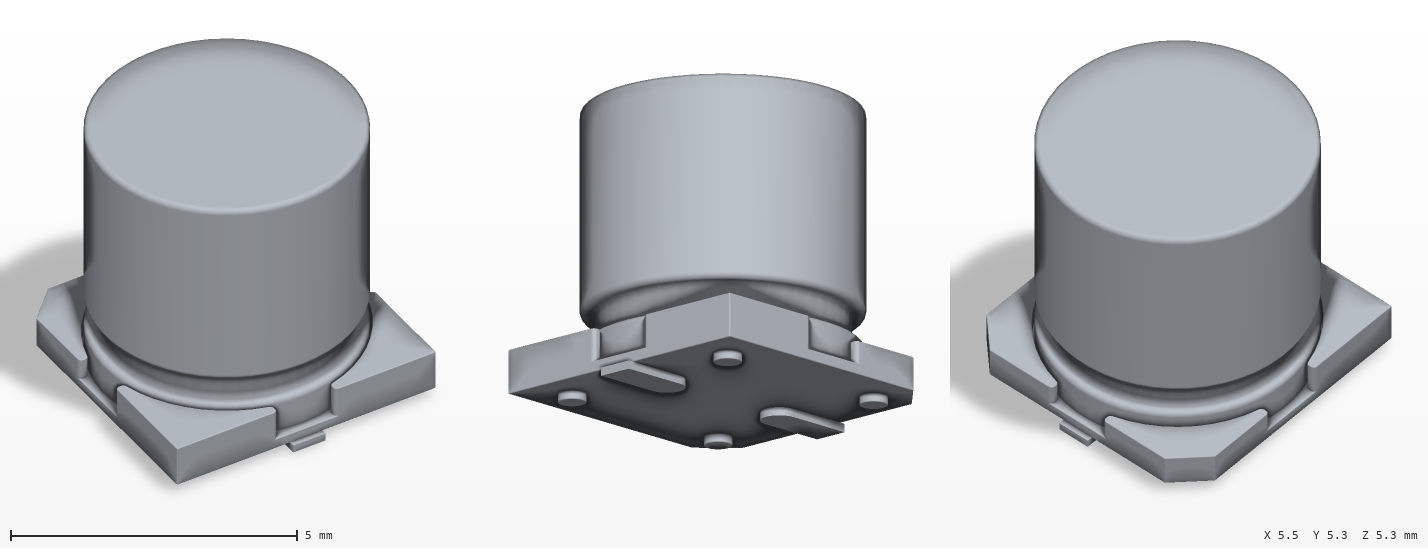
import cadquery as cq


total_height = 5.3
base_side = 5.3
lead_span = 5.5

can_radius = 2.5
neck_radius = 2.25
crimp_round = 0.1
neck_bottom = 1.03
neck_top = 1.58

base_bottom = 0.15
floor_height = 0.35
low_corner_height = 0.76
high_corner_height = 0.95
corner_cut = 0.62
notch_width = 1.18
block_round = 0.08
edge_round = 0.02
seat_radius = 2.54

lead_width = 0.66
lead_inner_end = 1.1
foot_diameter = 0.5
foot_offset = 1.86

half_side = base_side / 2
slice_margin = 0.01


def make_can():
    """Revolve the can profile: rounded rim, crimped neck and lower bead."""
    shoulder_radius = can_radius - crimp_round
    groove_radius = neck_radius + crimp_round
    profile = (
        cq.Workplane("XZ")
        .moveTo(0, floor_height)
        .lineTo(can_radius, floor_height)
        .lineTo(can_radius, neck_bottom - crimp_round)
        .radiusArc((shoulder_radius, neck_bottom), -crimp_round)
        .lineTo(groove_radius, neck_bottom)
        .radiusArc((neck_radius, neck_bottom + crimp_round), crimp_round)
        .lineTo(neck_radius, neck_top - crimp_round)
        .radiusArc((groove_radius, neck_top), crimp_round)
        .lineTo(shoulder_radius, neck_top)
        .radiusArc((can_radius, neck_top + crimp_round), -crimp_round)
        .lineTo(can_radius, total_height - crimp_round)
        .radiusArc((shoulder_radius, total_height), -crimp_round)
        .lineTo(0, total_height)
        .close()
    )
    return profile.revolve(360, (0, 0), (0, 1))


def base_prism(bottom, top):
    """Square base outline with two cut corners and broken upright edges."""
    return (
        cq.Workplane("XY")
        .workplane(offset=bottom)
        .rect(base_side, base_side)
        .extrude(top - bottom)
        .edges("|Z and <X")
        .chamfer(corner_cut)
        .edges("|Z")
        .fillet(edge_round)
    )


def near_plane(axis, position, margin=slice_margin):
    """Selector for edges centred in a slice across the X, Y or Z axis (0, 1 or 2)."""
    low = [-base_side, -base_side, 0]
    high = [base_side, base_side, total_height]
    low[axis] = position - margin
    high[axis] = position + margin
    return cq.selectors.BoxSelector(tuple(low), tuple(high))


def make_corner_block(x_side, y_side, top):
    """One raised corner of the base, hollowed to fit round the can."""
    notch_edge = notch_width / 2
    block_side = half_side - notch_edge
    block_center = notch_edge + block_side / 2
    quadrant = (
        cq.Workplane("XY")
        .center(x_side * block_center, y_side * block_center)
        .rect(block_side, block_side)
        .extrude(top)
    )
    seat = cq.Workplane("XY").circle(seat_radius).extrude(top)
    block = base_prism(floor_height - edge_round, top).intersect(quadrant).cut(seat)

    notch_walls = near_plane(0, x_side * notch_edge) + near_plane(1, y_side * notch_edge)
    block = block.edges("|Z").edges(notch_walls).fillet(block_round)
    return block.faces(">Z").edges().fillet(edge_round)


def make_base():
    """Thin floor slab with four raised corner blocks."""
    base = base_prism(base_bottom, floor_height).faces("<Z or >Z").edges().fillet(edge_round)
    for x_side, top in ((-1, low_corner_height), (1, high_corner_height)):
        for y_side in (-1, 1):
            base = base.union(make_corner_block(x_side, y_side, top))
    return base


def make_lead(x_side):
    """Flat lead under the base with a semicircular inner end."""
    outer_end = lead_span / 2
    tip_center = lead_inner_end + lead_width / 2
    strip_length = outer_end - tip_center
    strip = (
        cq.Workplane("XY")
        .center(x_side * (tip_center + strip_length / 2), 0)
        .rect(strip_length, lead_width)
        .extrude(base_bottom)
    )
    tip = (
        cq.Workplane("XY")
        .center(x_side * tip_center, 0)
        .circle(lead_width / 2)
        .extrude(base_bottom)
    )
    return strip.union(tip)


def add_feet(base):
    """Four round stand-off feet under the base corners, softened at both ends."""
    feet = (
        cq.Workplane("XY")
        .rect(2 * foot_offset, 2 * foot_offset, forConstruction=True)
        .vertices()
        .circle(foot_diameter / 2)
        .extrude(base_bottom)
    )
    underside_slice = near_plane(2, base_bottom / 2, base_bottom / 2 + slice_margin)
    end_circles = base.union(feet).edges("%CIRCLE").edges(underside_slice)
    return end_circles.fillet(edge_round)


result = add_feet(make_base()).union(make_can())
for side in (-1, 1):
    result = result.union(make_lead(side))